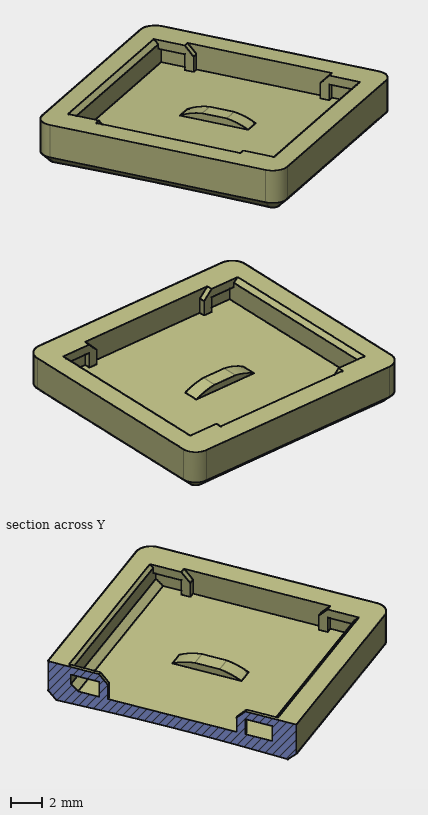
import cadquery as cq
import math

length = 17.5
width = 16.5
height = 2.92
corner_radius = 1.05
bottom_chamfer = 0.63
dish_edge_rise = 0.15

pocket_half_length = 7.35
pocket_half_width = 6.26
pocket_depth = 1.75
lip_height = 0.63
left_chamfer = 0.32
right_chamfer = 0.23
right_foot_run = 0.5
right_foot_height = 0.42
floor_z = height - pocket_depth
undercut_z = height - lip_height

recess_half_length = 5.15
recess_half_width = 6.68
post_length = 0.63
post_slope_height = 0.66

tab_length = 4.86
tab_flat_length = 1.75
tab_width = 1.1
tab_height = 0.49
tab_arc_radius = 4.38


def extrude_across(profile, y_start, y_end):
    """Extrude an XZ profile from y_start to y_end."""
    return profile.close().extrude(-(y_end - y_start)).translate((0, y_start, 0))


def make_body():
    body = (
        cq.Workplane("XY")
        .rect(length, width)
        .extrude(height)
        .edges("|Z")
        .fillet(corner_radius)
        .faces("<Z")
        .chamfer(bottom_chamfer)
    )
    base_half_length = length / 2 - bottom_chamfer
    base_half_width = width / 2 - bottom_chamfer
    dish_radius = base_half_length**2 / (2 * dish_edge_rise)
    base_corner_radius = corner_radius - bottom_chamfer
    corner_reach = base_corner_radius + math.hypot(
        base_half_length - base_corner_radius, base_half_width - base_corner_radius
    )
    dish_depth = dish_radius - math.sqrt(dish_radius**2 - corner_reach**2)
    dish = (
        cq.Workplane("XZ")
        .lineTo(corner_reach, 0)
        .radiusArc((0, dish_depth), -dish_radius)
        .close()
        .revolve(360, (0, 0, 0), (0, 1, 0))
    )
    return body.cut(dish)


def pocket_profile():
    """Pocket section with sloped left and right walls."""
    right_wall = pocket_half_length - right_chamfer
    left_wall = -pocket_half_length + left_chamfer
    return cq.Workplane("XZ").polyline([
        (-pocket_half_length, height),
        (pocket_half_length, height),
        (right_wall, height - right_chamfer),
        (right_wall, floor_z + right_foot_height),
        (right_wall - right_foot_run, floor_z),
        (left_wall, floor_z),
        (left_wall, height - left_chamfer),
    ])


def make_pocket():
    pocket = extrude_across(pocket_profile(), -pocket_half_width, pocket_half_width)
    below_lip = cq.Workplane("XY").box(
        length, 2 * recess_half_width, undercut_z, centered=(True, True, False)
    )
    undercut = extrude_across(pocket_profile(), -recess_half_width, recess_half_width)
    recess = (
        cq.Workplane("XY", origin=(0, 0, floor_z))
        .rect(2 * recess_half_length, 2 * recess_half_width)
        .extrude(pocket_depth)
    )
    return pocket.union(undercut.intersect(below_lip)).union(recess)


def make_post(x_side, y_side):
    """Post at a recess end; its top slopes up towards the end."""
    inner_x = x_side * (recess_half_length - post_length)
    outer_x = x_side * recess_half_length
    profile = cq.Workplane("XZ").polyline([
        (inner_x, floor_z),
        (outer_x, floor_z),
        (outer_x, height),
        (inner_x, height - post_slope_height),
    ])
    y_start, y_end = sorted((y_side * pocket_half_width, y_side * recess_half_width))
    return extrude_across(profile, y_start, y_end)


def make_tab():
    """Tab with a flat crown and convex arcs falling to the floor."""
    half_length = tab_length / 2
    half_flat = tab_flat_length / 2
    top_z = floor_z + tab_height
    profile = (
        cq.Workplane("XZ")
        .moveTo(-half_length, floor_z)
        .radiusArc((-half_flat, top_z), tab_arc_radius)
        .lineTo(half_flat, top_z)
        .radiusArc((half_length, floor_z), tab_arc_radius)
    )
    return extrude_across(profile, 0, tab_width)


result = make_body().cut(make_pocket())
for x_side in (-1, 1):
    for y_side in (-1, 1):
        result = result.union(make_post(x_side, y_side))
result = result.union(make_tab())